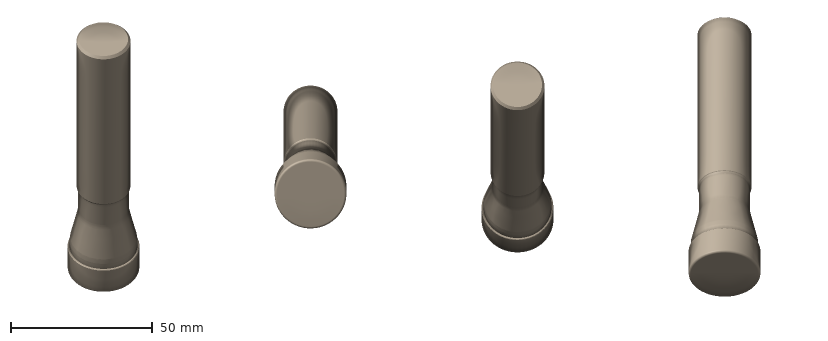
import cadquery as cq
import math

INCH = 25.4

total_length = 4.375 * INCH

collar_radius = 1.0 * INCH / 2
collar_height = 10.9
collar_bottom_fillet = 0.8
collar_top_chamfer = 0.2

shaft_radius = 0.75 * INCH / 2
shaft_top_chamfer = 0.85
neck_radius = 9.0
flare_base_radius = 12.0
base_band_top = 13.3
neck_bottom = 29.4
shoulder_bottom = 39.1
shoulder_top = 40.05
shaft_bottom_chamfer = 0.2
flare_blend_radius = 9.8


def make_collar():
    """Disc with a rounded bottom rim and a lightly chamfered top rim."""
    disc = cq.Workplane("XY").circle(collar_radius).extrude(collar_height)
    disc = disc.faces("<Z").edges().fillet(collar_bottom_fillet)
    return disc.faces(">Z").chamfer(collar_top_chamfer)


def flare_angle():
    """Half angle of the cone that is tangent to both equal blend arcs."""
    rise = neck_bottom - base_band_top
    half_rise = rise / 2
    half_step = (flare_base_radius - neck_radius) / 2
    reach = flare_blend_radius - half_step
    span = math.hypot(half_rise, reach)
    return math.atan2(half_rise, reach) - math.acos(flare_blend_radius / span)


def make_shank():
    """Revolved stem: band on the collar, blended cone, neck, tapered shoulder and shaft."""
    angle = flare_angle()

    def arc_inset(sweep):
        """Radial departure of a blend arc from its straight wall."""
        return flare_blend_radius * (1 - math.cos(sweep))

    def arc_rise(sweep):
        """Axial travel along a blend arc."""
        return flare_blend_radius * math.sin(sweep)

    lower_mid = (flare_base_radius - arc_inset(angle / 2), base_band_top + arc_rise(angle / 2))
    lower_end = (flare_base_radius - arc_inset(angle), base_band_top + arc_rise(angle))
    upper_start = (neck_radius + arc_inset(angle), neck_bottom - arc_rise(angle))
    upper_mid = (neck_radius + arc_inset(angle / 2), neck_bottom - arc_rise(angle / 2))

    profile = (
        cq.Workplane("XZ")
        .moveTo(0, collar_height)
        .lineTo(flare_base_radius, collar_height)
        .lineTo(flare_base_radius, base_band_top)
        .threePointArc(lower_mid, lower_end)
        .lineTo(*upper_start)
        .threePointArc(upper_mid, (neck_radius, neck_bottom))
        .lineTo(neck_radius, shoulder_bottom)
        .lineTo(shaft_radius - shaft_bottom_chamfer, shoulder_top - shaft_bottom_chamfer)
        .lineTo(shaft_radius, shoulder_top)
        .lineTo(shaft_radius, total_length - shaft_top_chamfer)
        .lineTo(shaft_radius - shaft_top_chamfer, total_length)
        .lineTo(0, total_length)
        .close()
    )
    return profile.revolve(360, (0, 0, 0), (0, 1, 0))


collar = make_collar()
shank = make_shank()
result = cq.Compound.makeCompound([collar.val(), shank.val()])